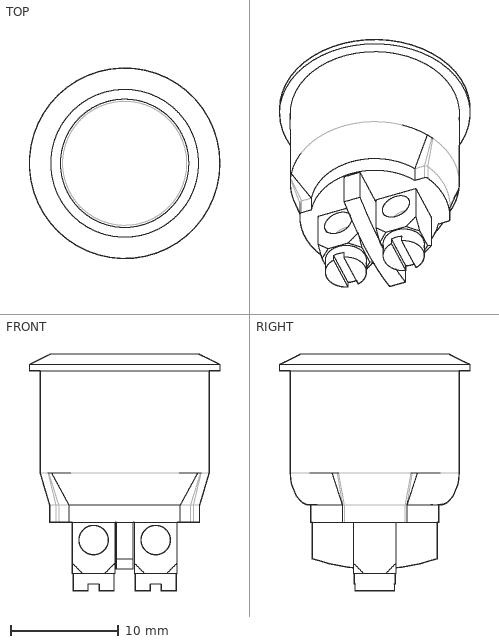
import cadquery as cq
import math

TOTAL_HEIGHT = 22.1
SCREW_HEIGHT = 1.6
BLOCK_HEIGHT = 4.8
PLATE_HEIGHT = 1.6
BOWL_HEIGHT = 3.0
RIM_HEIGHT = 0.6
BEVEL_HEIGHT = 1.0

BLOCK_BOTTOM = SCREW_HEIGHT
PLATE_BOTTOM = BLOCK_BOTTOM + BLOCK_HEIGHT
PLATE_TOP = PLATE_BOTTOM + PLATE_HEIGHT
BOWL_TOP = PLATE_TOP + BOWL_HEIGHT
BEVEL_BOTTOM = TOTAL_HEIGHT - BEVEL_HEIGHT
FLANGE_BOTTOM = BEVEL_BOTTOM - RIM_HEIGHT

FLANGE_RADIUS = 17.8 / 2
BEVEL_TOP_RADIUS = 6.9
BARREL_RADIUS = 7.9
PLATE_RADIUS = 6.0

TAB_RADIUS = 7.0
TAB_WIDTH = 6.01
TAB_CORNER_RADIUS = 0.29

SHOULDER_TAB_Y = 3.38
SHOULDER_CORNER_Y = 3.5
SHOULDER_SIDE_Y = 3.98
BOWL_SECTIONS = 13

FIN_THICKNESS = 1.6
FIN_LENGTH = 11.67
FIN_END_DEPTH = 3.4
FIN_MIDDLE_DEPTH = 4.38

BUTTON_RADIUS = 6.0
BUTTON_EDGE_FILLET = 0.2
BUTTON_DEPTH = BEVEL_HEIGHT + RIM_HEIGHT

TERMINAL_GAP = 0.1
BLOCK_WIDTH = 4.0
TERMINAL_OFFSET = FIN_THICKNESS / 2 + TERMINAL_GAP + BLOCK_WIDTH / 2
BLOCK_CORNER_CUT = 1.0
WIRE_HOLE_DIAMETER = 2.72
WIRE_HOLE_DEPTH = 1.65
SCREW_DIAMETER = 3.85
SLOT_WIDTH = 1.02
SLOT_DEPTH = 0.62


def point_on_circle(radius, y):
    """Point at the given Y on the +X half of a circle about the axis."""
    return (math.sqrt(radius**2 - y**2), y)


def quarter_points(tab_radius, tab_end_y, corner_middle, corner_end, bowl_radius, bowl_end_y):
    """Points of one quarter of the plate or bowl outline, from the X axis to the Y axis."""
    return [
        (tab_radius, 0),
        point_on_circle(tab_radius, tab_end_y),
        corner_middle,
        corner_end,
        point_on_circle(bowl_radius, bowl_end_y),
        (0, bowl_radius),
    ]


def plate_quarter():
    """Round plate with a tab whose corner is rounded where its flat side meets its end arc."""
    flat_y = TAB_WIDTH / 2
    center_x, center_y = point_on_circle(TAB_RADIUS - TAB_CORNER_RADIUS, flat_y - TAB_CORNER_RADIUS)
    end_angle = math.atan2(center_y, center_x)
    middle_angle = (end_angle + math.pi / 2) / 2
    corner_middle = (
        center_x + TAB_CORNER_RADIUS * math.cos(middle_angle),
        center_y + TAB_CORNER_RADIUS * math.sin(middle_angle),
    )
    tab_end_y = TAB_RADIUS * math.sin(end_angle)
    return quarter_points(TAB_RADIUS, tab_end_y, corner_middle, (center_x, flat_y), PLATE_RADIUS, flat_y)


def barrel_quarter():
    """Full circle of the barrel, split where the edges of the shoulder arrive."""
    corner_middle_y = (SHOULDER_TAB_Y + SHOULDER_CORNER_Y) / 2
    return quarter_points(
        BARREL_RADIUS,
        SHOULDER_TAB_Y,
        point_on_circle(BARREL_RADIUS, corner_middle_y),
        point_on_circle(BARREL_RADIUS, SHOULDER_CORNER_Y),
        BARREL_RADIUS,
        SHOULDER_SIDE_Y,
    )


def outline_wire(quarter, z):
    """Closed outline at height z, made by mirroring a quarter about both axes."""
    tab_middle, tab_end, corner_middle, corner_end, bowl_end, bowl_middle = quarter

    def place(point, side_x, side_y):
        return cq.Vector(side_x * point[0], side_y * point[1], z)

    edges = []
    for side in (1, -1):
        near = [place(p, side, side) for p in (tab_end, corner_middle, corner_end, bowl_end)]
        far = [place(p, -side, side) for p in (bowl_end, corner_end, corner_middle, tab_end)]
        edges += [
            cq.Edge.makeThreePointArc(place(tab_end, side, -side), place(tab_middle, side, side), near[0]),
            cq.Edge.makeThreePointArc(*near[:3]),
            cq.Edge.makeLine(near[2], near[3]),
            cq.Edge.makeThreePointArc(near[3], place(bowl_middle, side, side), far[0]),
            cq.Edge.makeLine(far[0], far[1]),
            cq.Edge.makeThreePointArc(*far[1:]),
        ]
    return cq.Wire.assembleEdges(edges)


def make_plate():
    outline = outline_wire(plate_quarter(), PLATE_BOTTOM)
    return cq.Workplane(cq.Solid.extrudeLinear(outline, [], cq.Vector(0, 0, PLATE_HEIGHT)))


def make_bowl():
    """Straight shoulders above the tabs, and a quarter-ellipse profile on the +Y and -Y sides."""
    sections = []
    for level in range(BOWL_SECTIONS):
        angle = math.pi / 2 * level / (BOWL_SECTIONS - 1)
        rise = 1 - math.cos(angle)
        quarter = [
            (low[0] + rise * (high[0] - low[0]), low[1] + rise * (high[1] - low[1]))
            for low, high in zip(plate_quarter(), barrel_quarter())
        ]
        quarter[-1] = (0, PLATE_RADIUS + (BARREL_RADIUS - PLATE_RADIUS) * math.sin(angle))
        sections.append(outline_wire(quarter, PLATE_TOP + rise * BOWL_HEIGHT))
    return cq.Workplane(cq.Solid.makeLoft(sections))


def make_barrel_and_flange():
    """Barrel and bevelled flange, turned about Z."""
    return (
        cq.Workplane("XZ")
        .moveTo(0, BOWL_TOP)
        .lineTo(BARREL_RADIUS, BOWL_TOP)
        .lineTo(BARREL_RADIUS, FLANGE_BOTTOM)
        .lineTo(FLANGE_RADIUS, FLANGE_BOTTOM)
        .lineTo(FLANGE_RADIUS, BEVEL_BOTTOM)
        .lineTo(BEVEL_TOP_RADIUS, TOTAL_HEIGHT)
        .lineTo(0, TOTAL_HEIGHT)
        .close()
        .revolve(360, (0, 0), (0, 1))
    )


def make_fin():
    """Flat fin under the plate, its lower edge an arc that is deepest in the middle."""
    half_length = FIN_LENGTH / 2
    end_z = PLATE_BOTTOM - FIN_END_DEPTH
    return (
        cq.Workplane("YZ")
        .moveTo(-half_length, PLATE_BOTTOM)
        .lineTo(-half_length, end_z)
        .threePointArc((0, PLATE_BOTTOM - FIN_MIDDLE_DEPTH), (half_length, end_z))
        .lineTo(half_length, PLATE_BOTTOM)
        .close()
        .extrude(FIN_THICKNESS / 2, both=True)
    )


def make_button_blank():
    base = cq.Workplane("XY", origin=(0, 0, TOTAL_HEIGHT - BUTTON_DEPTH))
    return base.circle(BUTTON_RADIUS).extrude(BUTTON_DEPTH)


def make_housing():
    outside = make_barrel_and_flange().union(make_bowl()).union(make_plate()).union(make_fin())
    return outside.cut(make_button_blank())


def make_button():
    return make_button_blank().faces(">Z").edges().fillet(BUTTON_EDGE_FILLET)


def make_block():
    """Square block with its four lower corners cut off and a wire hole along Y."""
    base = cq.Workplane("XY", origin=(0, 0, BLOCK_BOTTOM))
    block = base.rect(BLOCK_WIDTH, BLOCK_WIDTH).extrude(BLOCK_HEIGHT)
    corner_distance = BLOCK_WIDTH / math.sqrt(2)
    cut_distance = BLOCK_CORNER_CUT / math.sqrt(2)
    for corner in range(4):
        wedge = (
            cq.Workplane("XZ")
            .polyline(
                [
                    (corner_distance - cut_distance, BLOCK_BOTTOM),
                    (corner_distance, BLOCK_BOTTOM),
                    (corner_distance, BLOCK_BOTTOM + BLOCK_CORNER_CUT),
                ]
            )
            .close()
            .extrude(BLOCK_CORNER_CUT, both=True)
            .rotate((0, 0, 0), (0, 0, 1), 45 + 90 * corner)
        )
        block = block.cut(wedge)
    wire_hole = (
        cq.Workplane("XZ")
        .center(0, PLATE_BOTTOM - WIRE_HOLE_DEPTH)
        .circle(WIRE_HOLE_DIAMETER / 2)
        .extrude(BLOCK_WIDTH, both=True)
    )
    return block.cut(wire_hole)


def make_screw_head():
    """Round head with a driver slot along Y across its lower face."""
    head = cq.Workplane("XY").circle(SCREW_DIAMETER / 2).extrude(SCREW_HEIGHT)
    slot = cq.Workplane("XY").rect(SLOT_WIDTH, SCREW_DIAMETER).extrude(SLOT_DEPTH)
    return head.cut(slot)


def make_terminal(center_x):
    """Terminal block with its screw head."""
    return make_block().union(make_screw_head()).translate((center_x, 0, 0))


housing = make_housing()
button = make_button()
terminals = [make_terminal(side * TERMINAL_OFFSET) for side in (-1, 1)]

result = cq.Compound.makeCompound([housing.val(), button.val(), *[t.val() for t in terminals]])